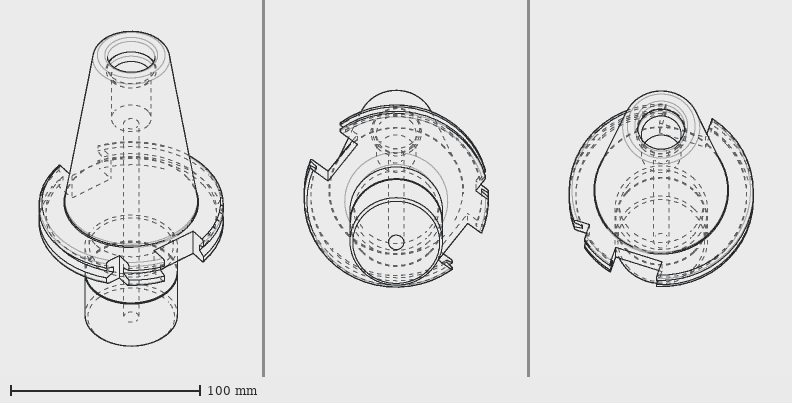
import cadquery as cq
import math


GAUGE_RADIUS = 69.85 / 2
TAPER_SLOPE = 7 / 24 / 2
SHANK_LENGTH = 101.75
TAPER_OVERRUN = 1.3
SHANK_TIP_ROUND = 2.5
COLLAR_ROUND = 0.5

FLANGE_RADIUS = 97.5 / 2
FLANGE_TOP = -3.2
FLANGE_BOTTOM = -19.1
FLANGE_ROUND = 1.5
GROOVE_CENTER = -11.1
GROOVE_FLOOR_RADIUS = 45.2
GROOVE_FLOOR_WIDTH = 3.5
GROOVE_MOUTH_WIDTH = 7.0

SLOT_WIDTH = 25.7
SLOT_FLOOR_LEFT = 35.5
SLOT_FLOOR_RIGHT = 37.7
NOTCH_OFFSET = 30.0

BODY_BOTTOM = -85.0
BODY_TOP = -34.4
BODY_RADIUS = 49.0 / 2
BODY_CHAMFER = 1.5
NECK_RADIUS = 44.5 / 2
NECK_FILLET = 5.0
SEAM_Z = -53.3
SEAM_WIDTH = 0.6
SEAM_DEPTH = 0.3

PILOT_RADIUS = 25.0 / 2
PILOT_DEPTH = 12.0
PILOT_MOUTH_ROUND = 1.5
PILOT_RELIEF_WIDTH = 3.0
PILOT_RELIEF_DEPTH = 0.8
THREAD_RADIUS = 21.0 / 2
THREAD_DEPTH = 45.0
DRILL_POINT_ANGLE = 118
COOLANT_RADIUS = 8.1 / 2


def taper_radius(z):
    return GAUGE_RADIUS - z * TAPER_SLOPE


def make_shank():
    collar_top = -TAPER_OVERRUN
    collar_radius = taper_radius(collar_top)
    shank = (
        cq.Workplane("XZ")
        .moveTo(0, FLANGE_TOP)
        .lineTo(collar_radius + COLLAR_ROUND, FLANGE_TOP)
        .radiusArc((collar_radius, FLANGE_TOP + COLLAR_ROUND), COLLAR_ROUND)
        .lineTo(collar_radius, collar_top)
        .lineTo(taper_radius(SHANK_LENGTH), SHANK_LENGTH)
        .lineTo(0, SHANK_LENGTH)
        .close()
        .revolve(360, (0, 0), (0, 1))
    )
    return shank.faces(">Z").edges().fillet(SHANK_TIP_ROUND)


def make_flange():
    flange = (
        cq.Workplane("XY", origin=(0, 0, FLANGE_BOTTOM))
        .circle(FLANGE_RADIUS)
        .extrude(FLANGE_TOP - FLANGE_BOTTOM)
        .edges()
        .fillet(FLANGE_ROUND)
    )
    half_mouth = GROOVE_MOUTH_WIDTH / 2
    half_floor = GROOVE_FLOOR_WIDTH / 2
    groove = (
        cq.Workplane("XZ")
        .moveTo(GROOVE_FLOOR_RADIUS, GROOVE_CENTER - half_floor)
        .lineTo(FLANGE_RADIUS, GROOVE_CENTER - half_mouth)
        .lineTo(FLANGE_RADIUS, GROOVE_CENTER + half_mouth)
        .lineTo(GROOVE_FLOOR_RADIUS, GROOVE_CENTER + half_floor)
        .close()
        .revolve(360, (0, 0), (0, 1))
    )
    return flange.cut(groove)


def flange_cutter(x_min, x_max, y_min, y_max):
    return (
        cq.Workplane("XY", origin=(0, 0, FLANGE_BOTTOM))
        .moveTo(x_min, y_min)
        .lineTo(x_max, y_min)
        .lineTo(x_max, y_max)
        .lineTo(x_min, y_max)
        .close()
        .extrude(FLANGE_TOP - FLANGE_BOTTOM)
    )


def cut_flange_openings(flange):
    half_slot = SLOT_WIDTH / 2
    left_slot = flange_cutter(-FLANGE_RADIUS, -SLOT_FLOOR_LEFT, -half_slot, half_slot)
    right_slot = flange_cutter(SLOT_FLOOR_RIGHT, FLANGE_RADIUS, -half_slot, half_slot)
    notch = flange_cutter(NOTCH_OFFSET, FLANGE_RADIUS, -FLANGE_RADIUS, -NOTCH_OFFSET)
    return flange.cut(left_slot).cut(right_slot).cut(notch)


def make_neck_and_body():
    arc_center_r = NECK_RADIUS + NECK_FILLET
    arc_center_z = FLANGE_BOTTOM - NECK_FILLET
    arc_reach = NECK_FILLET * math.sqrt(0.5)
    seam_radius = BODY_RADIUS - SEAM_DEPTH
    return (
        cq.Workplane("XZ")
        .moveTo(0, FLANGE_BOTTOM)
        .lineTo(arc_center_r, FLANGE_BOTTOM)
        .threePointArc(
            (arc_center_r - arc_reach, arc_center_z + arc_reach),
            (NECK_RADIUS, arc_center_z),
        )
        .lineTo(NECK_RADIUS, BODY_TOP)
        .lineTo(BODY_RADIUS, BODY_TOP)
        .lineTo(BODY_RADIUS, SEAM_Z + SEAM_WIDTH / 2)
        .lineTo(seam_radius, SEAM_Z + SEAM_WIDTH / 2)
        .lineTo(seam_radius, SEAM_Z - SEAM_WIDTH / 2)
        .lineTo(BODY_RADIUS, SEAM_Z - SEAM_WIDTH / 2)
        .lineTo(BODY_RADIUS, BODY_BOTTOM + BODY_CHAMFER)
        .lineTo(BODY_RADIUS - BODY_CHAMFER, BODY_BOTTOM)
        .lineTo(0, BODY_BOTTOM)
        .close()
        .revolve(360, (0, 0), (0, 1))
    )


def make_bore():
    pilot_floor = SHANK_LENGTH - PILOT_DEPTH
    step_drop = PILOT_RADIUS - THREAD_RADIUS
    thread_floor = SHANK_LENGTH - THREAD_DEPTH
    point_drop = (THREAD_RADIUS - COOLANT_RADIUS) / math.tan(math.radians(DRILL_POINT_ANGLE / 2))
    return (
        cq.Workplane("XZ")
        .moveTo(0, SHANK_LENGTH)
        .lineTo(PILOT_RADIUS + PILOT_MOUTH_ROUND, SHANK_LENGTH)
        .radiusArc((PILOT_RADIUS, SHANK_LENGTH - PILOT_MOUTH_ROUND), -PILOT_MOUTH_ROUND)
        .lineTo(PILOT_RADIUS, pilot_floor + PILOT_RELIEF_WIDTH)
        .threePointArc(
            (PILOT_RADIUS + PILOT_RELIEF_DEPTH, pilot_floor + PILOT_RELIEF_WIDTH / 2),
            (PILOT_RADIUS, pilot_floor),
        )
        .lineTo(THREAD_RADIUS, pilot_floor - step_drop)
        .lineTo(THREAD_RADIUS, thread_floor)
        .lineTo(COOLANT_RADIUS, thread_floor - point_drop)
        .lineTo(COOLANT_RADIUS, BODY_BOTTOM)
        .lineTo(0, BODY_BOTTOM)
        .close()
        .revolve(360, (0, 0), (0, 1))
    )


flange = cut_flange_openings(make_flange())
result = make_shank().union(flange).union(make_neck_and_body()).cut(make_bore())